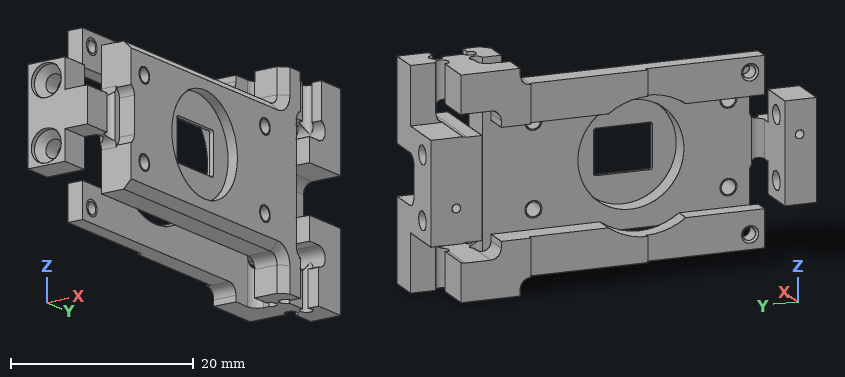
import cadquery as cq
import math


rear_y = 26.0
flange_front_y = 15.25
plate_front_y = -14.0
bracket_front_y = -19.5

arm_outer_x = 0.5
arm_inner_x = 3.5
plate_x = 6.0
back_x = 10.0

flange_half_z = 13.0
arm_half_z = 11.0
arm_inner_z = 6.5
plate_half_z = 8.5
block_half_z = 6.0

hinge_radius = 0.75
hinge_web = 0.5
hinge_x = 7.0
hinge_offset_x = hinge_radius + hinge_web / 2
hinge_inner_x = hinge_x - hinge_offset_x
hinge_outer_x = hinge_x + hinge_offset_x
rear_hinge_y = 22.25
plate_hinge_y = 18.25
front_hinge_y = -15.0

corner_radius = 1.25
plate_chamfer = 1.0

slot_width = 2.5
slot_centre_z = plate_half_z - slot_width / 2
slot_rear_y = rear_hinge_y + hinge_radius
slot_front_y = plate_hinge_y - hinge_radius

arm_root_front_y = 18.75
arm_root_fillet = 1.25
arm_middle_x = 1.0
arm_tip_x = 1.5
arm_relief_radius = 8.0

block_front_y = 20.0
block_crown = 0.1
bar_lip_y = rear_hinge_y - 0.5
block_notch_x = 5.0
block_notch_half_z = 3.0

recess_diameter = 12.5
recess_depth = 2.25
floor_thickness = 0.5
window_y = 6.9
window_z = 5.4
window_fillet = 0.25
relief_depth = 0.6

neck_half_z = 2.25
bracket_rear_y = front_hinge_y - hinge_radius
ear_back_x = 5.0

sleeve_outer_diameter = 2.0
plate_sleeve_bore = 1.7
arm_sleeve_bore = 1.5
plate_sleeve_places = [(y, z) for y in (-11.5, 11.5) for z in (-5.0, 5.0)]
arm_sleeve_places = [(-12.25, z) for z in (-9.25, 9.25)]

screw_x = 2.5
screw_z = 3.75
screw_diameter = 2.2
countersink_diameter = 4.0
countersink_land = 0.6
countersink_angle = 90.0

pin_diameter = 1.0
pin_depth = 2.0
pin_tip_angle = 118.0
pin_z = 2.0
block_pin_y = 23.0
bracket_pin_y = -17.5


def box(x_range, y_range, z_range):
    size = [b - a for a, b in (x_range, y_range, z_range)]
    corner = (x_range[0], y_range[0], z_range[0])
    return cq.Workplane("XY").box(*size, centered=False).translate(corner)


def rod_x(y, z, diameter, x_range):
    length = x_range[1] - x_range[0]
    return cq.Workplane("YZ", origin=(x_range[0], y, z)).circle(diameter / 2).extrude(length)


def rod_z(x, y, radius, z_range):
    length = z_range[1] - z_range[0]
    return cq.Workplane("XY", origin=(x, y, z_range[0])).circle(radius).extrude(length)


def both_sides(body):
    return body.union(body.mirror("XY"))


def flanged_slab(half_z, slab_rear_y, x_range):
    """Slab of the given half height that widens through round corners into the flange."""
    arc_start_y = flange_front_y - corner_radius
    middle = corner_radius * (1 - math.sqrt(0.5))
    half = (
        cq.Workplane("YZ", origin=(x_range[0], 0, 0))
        .moveTo(plate_front_y, 0)
        .lineTo(plate_front_y, half_z)
        .lineTo(arc_start_y, half_z)
        .threePointArc((flange_front_y - middle, half_z + middle), (flange_front_y, half_z + corner_radius))
        .lineTo(flange_front_y, flange_half_z)
        .lineTo(slab_rear_y, flange_half_z)
        .lineTo(slab_rear_y, 0)
        .close()
        .extrude(x_range[1] - x_range[0])
    )
    return both_sides(half)


def arms():
    shoulder_y = flange_front_y - corner_radius
    profile = (
        cq.Workplane("XY", origin=(0, 0, arm_inner_z))
        .polyline([
            (arm_outer_x, rear_hinge_y),
            (hinge_outer_x, rear_hinge_y),
            (hinge_outer_x, plate_hinge_y),
            (hinge_inner_x, plate_hinge_y),
            (hinge_inner_x, arm_root_front_y),
            (arm_inner_x, arm_root_front_y),
            (arm_inner_x, plate_front_y),
            (arm_tip_x, plate_front_y),
            (arm_tip_x, 0),
            (arm_middle_x, 0),
            (arm_middle_x, shoulder_y),
            (arm_outer_x, shoulder_y),
        ])
        .close()
        .extrude(flange_half_z - arm_inner_z)
        .edges(cq.NearestToPointSelector((arm_inner_x, arm_root_front_y, arm_half_z)))
        .fillet(arm_root_fillet)
    )
    arm = profile.intersect(flanged_slab(arm_half_z, rear_hinge_y, (0, back_x)))
    arm = arm.cut(rod_x(0, 0, 2 * arm_relief_radius, (0, arm_inner_x)))
    return both_sides(arm)


def plate():
    slab = flanged_slab(plate_half_z, plate_hinge_y, (plate_x, back_x))
    for side in (-1, 1):
        z_limits = sorted((side * (plate_half_z - plate_chamfer), side * (flange_half_z + plate_chamfer)))
        edge_zone = cq.selectors.BoxSelector(
            (back_x - 0.1, plate_front_y + 1, z_limits[0]),
            (back_x + 0.1, flange_front_y + 0.1, z_limits[1]))
        slab = slab.edges(edge_zone).chamfer(plate_chamfer)
    floor_x = plate_x + recess_depth
    slab = slab.cut(rod_x(0, 0, recess_diameter, (plate_x, floor_x)))
    slab = slab.cut(rod_x(0, 0, recess_diameter, (floor_x + floor_thickness, back_x)))
    window = box((plate_x, back_x), (-window_y / 2, window_y / 2), (-window_z / 2, window_z / 2))
    slab = slab.cut(window.edges("|X").fillet(window_fillet))
    return slab.cut(neck_relief())


def neck_relief():
    """Shallow relief with round ends in the front edge of the plate, behind the neck."""
    floor_y = plate_front_y + relief_depth
    half_z = neck_half_z + corner_radius
    relief = box((hinge_outer_x, back_x), (floor_y - 2 * corner_radius, floor_y), (-half_z, half_z))
    return relief.edges("|X and >Y").fillet(corner_radius)


def neck():
    half_z = neck_half_z + corner_radius
    web = box((hinge_inner_x, hinge_outer_x), (bracket_rear_y, plate_front_y), (-half_z, half_z))
    side = box((plate_x, back_x), (bracket_front_y, plate_front_y), (neck_half_z, half_z + 1))
    side = side.edges("|X and >Y and <Z").fillet(corner_radius)
    side = side.intersect(box((plate_x, back_x), (bracket_front_y, plate_front_y), (0, half_z)))
    return web.cut(both_sides(side))


def drilled_pin_hole(y, z):
    radius = pin_diameter / 2
    tip = radius / math.tan(math.radians(pin_tip_angle / 2))
    return (
        cq.Workplane("XY")
        .polyline([(0, 0), (pin_depth + tip, 0), (pin_depth, radius), (0, radius)])
        .close()
        .revolve(360, (0, 0, 0), (1, 0, 0))
        .translate((0, y, z))
    )


def screw_holes(y_front, length):
    return (
        cq.Workplane("XZ", origin=(0, y_front, 0))
        .pushPoints([(screw_x, screw_z), (screw_x, -screw_z)])
        .circle(screw_diameter / 2)
        .extrude(-length)
    )


def rear_mount():
    bar = box((plate_x, back_x), (rear_hinge_y, rear_y), (-flange_half_z, flange_half_z))
    block_top_z = block_half_z + block_crown
    block = box((0, plate_x), (block_front_y, rear_y), (-block_top_z, block_top_z))
    shoulder = box((plate_x, back_x), (block_front_y, rear_y), (-slot_centre_z, slot_centre_z))
    notch = box((block_notch_x, back_x + 5), (block_front_y, rear_y), (-block_notch_half_z, block_notch_half_z))
    notch = notch.edges("|Y and <X").fillet(corner_radius)
    lip = box((hinge_outer_x, back_x), (bar_lip_y, rear_y), (-flange_half_z, -slot_centre_z))
    mount = bar.union(lip).union(shoulder).union(block).cut(notch)
    mount = mount.cut(screw_holes(block_front_y, rear_y - block_front_y))
    return mount.cut(drilled_pin_hole(block_pin_y, -pin_z))


def bracket_holes():
    """Countersunk screw holes and the pin hole of the bracket."""
    end_radius = countersink_diameter / 2
    screw_radius = screw_diameter / 2
    cone_depth = (end_radius - screw_radius) / math.tan(math.radians(countersink_angle / 2))
    holes = drilled_pin_hole(bracket_pin_y, pin_z)
    for z in (-screw_z, screw_z):
        screw_hole = (
            cq.Workplane("XY", origin=(screw_x, bracket_front_y, z))
            .polyline([
                (0, 0),
                (end_radius, 0),
                (end_radius, countersink_land),
                (screw_radius, countersink_land + cone_depth),
                (screw_radius, bracket_rear_y - bracket_front_y),
                (0, bracket_rear_y - bracket_front_y),
            ])
            .close()
            .revolve(360, (0, 0, 0), (0, 1, 0))
        )
        holes = holes.union(screw_hole)
    return holes


def bracket():
    y_range = (bracket_front_y, bracket_rear_y)
    centre = box((0, hinge_outer_x), y_range, (-neck_half_z, neck_half_z))
    ears = box((0, ear_back_x), y_range, (-block_half_z, block_half_z))
    return centre.union(ears).cut(bracket_holes())


def side_slot():
    side = (
        cq.Workplane("YZ")
        .center((slot_rear_y + slot_front_y) / 2, slot_centre_z)
        .slot2D(slot_rear_y - slot_front_y, slot_width)
        .extrude(back_x)
    )
    middle = box((0, back_x), (slot_front_y, block_front_y), (-slot_centre_z, slot_centre_z))
    return both_sides(side).union(middle)


def hinge_cuts():
    cuts = []
    for x in (hinge_inner_x, hinge_outer_x):
        for y in (rear_hinge_y, plate_hinge_y):
            cuts.append(both_sides(rod_z(x, y, hinge_radius, (slot_centre_z, flange_half_z))))
        cuts.append(rod_z(x, front_hinge_y, hinge_radius, (-block_half_z, block_half_z)))
    return cuts


def plate_sleeve(y, z):
    x_range = (plate_x, back_x)
    return rod_x(y, z, sleeve_outer_diameter, x_range).cut(rod_x(y, z, plate_sleeve_bore, x_range))


def arm_sleeve(y, z):
    """Sleeve whose bore opens into a cone that reaches the outer rim at the face of the arm."""
    x_range = (arm_tip_x, arm_inner_x)
    rim_radius = sleeve_outer_diameter / 2
    bore_radius = arm_sleeve_bore / 2
    mouth = cq.Solid.makeCone(
        rim_radius, bore_radius, rim_radius - bore_radius,
        pnt=cq.Vector(arm_tip_x, y, z), dir=cq.Vector(1, 0, 0))
    sleeve = rod_x(y, z, sleeve_outer_diameter, x_range)
    return sleeve.cut(rod_x(y, z, arm_sleeve_bore, x_range)).cut(cq.Workplane(mouth))


stage = rear_mount().union(arms()).union(plate()).union(neck()).union(bracket())
stage = stage.cut(side_slot())
for hinge_cut in hinge_cuts():
    stage = stage.cut(hinge_cut)
for sleeve_y, sleeve_z in plate_sleeve_places:
    stage = stage.cut(rod_x(sleeve_y, sleeve_z, sleeve_outer_diameter, (plate_x, back_x)))
for sleeve_y, sleeve_z in arm_sleeve_places:
    stage = stage.cut(rod_x(sleeve_y, sleeve_z, sleeve_outer_diameter, (arm_tip_x, arm_inner_x)))

result = cq.Compound.makeCompound([
    stage.val(),
    *[plate_sleeve(y, z).val() for y, z in plate_sleeve_places],
    *[arm_sleeve(y, z).val() for y, z in arm_sleeve_places],
])